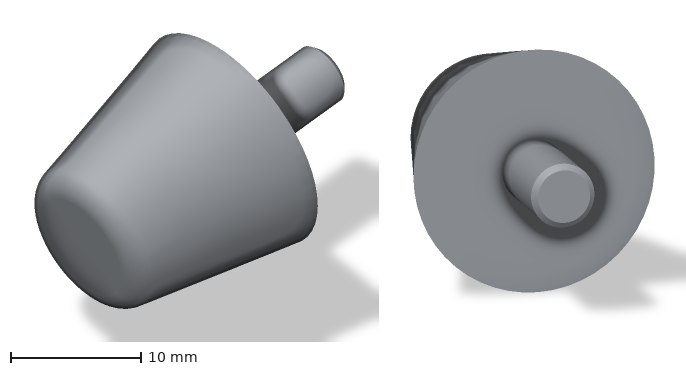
import cadquery as cq

total_length = 26.0
stud_length = 10.0
stud_diameter = 5.0
stud_chamfer = 0.45
base_diameter = 19.0
tip_diameter = 11.95
tip_rounding = 1.9

bumper_length = total_length - stud_length


def make_bumper():
    """Tapered buffer with a rounded rim around its flat tip."""
    base_radius = base_diameter / 2
    tip_radius = tip_diameter / 2
    outline = (
        cq.Workplane("XY")
        .moveTo(0, 0)
        .lineTo(base_radius, 0)
        .lineTo(tip_radius, -bumper_length)
        .lineTo(0, -bumper_length)
        .close()
    )
    cone = outline.revolve(360, (0, 0, 0), (0, 1, 0))
    return cone.faces("<Y").edges().fillet(tip_rounding)


def make_stud():
    """Plain round stud with a chamfered free end."""
    away_from_base = cq.Vector(0, 1, 0)
    stud = cq.Workplane(
        cq.Solid.makeCylinder(stud_diameter / 2, stud_length, cq.Vector(0, 0, 0), away_from_base)
    )
    return stud.faces(">Y").edges().chamfer(stud_chamfer)


bumper = make_bumper()
stud = make_stud()

result = cq.Compound.makeCompound([bumper.val(), stud.val()])